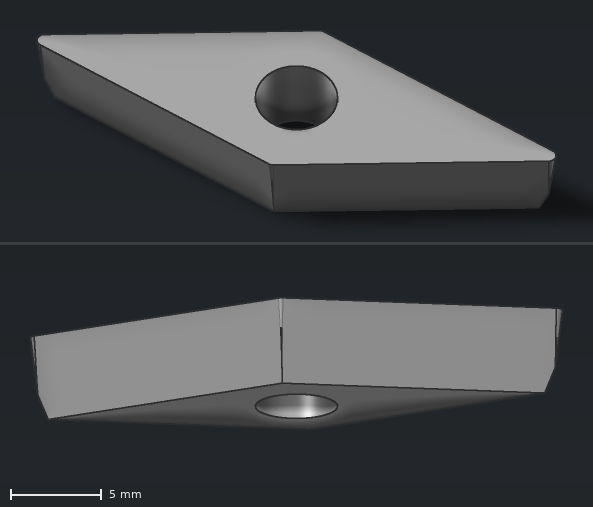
import cadquery as cq
import math

length = 28.47
width = 9.55
thickness = 4.75
tip_angle = 35.0
relief_angle = 7.0
hole_diameter = 4.53

relief_slope = math.tan(math.radians(relief_angle))
tip = math.radians(tip_angle)

side = width / math.sin(tip)
acute_x = (side + width / math.tan(tip)) / 2
obtuse_x = side - acute_x
half_width = width / 2
corners = [
    (-acute_x, -half_width),
    (obtuse_x, -half_width),
    (acute_x, half_width),
    (-obtuse_x, half_width),
]
corner_angles = [tip_angle, 180 - tip_angle] * 2

corner_radius = (acute_x - length / 2) / (1 / math.tan(tip / 2) - 1)
cone_depth = corner_radius / relief_slope


def toward(start, target, distance):
    """Point at a distance from start on the line to target."""
    ratio = distance / math.dist(start, target)
    return tuple(a + ratio * (b - a) for a, b in zip(start, target))


def corner_parts(index):
    """Wedge holding a sharp corner, and the conical rounding that replaces it."""
    corner = corners[index]
    half_angle = math.radians(corner_angles[index] / 2)
    tangent_length = corner_radius / math.tan(half_angle)
    before = toward(corner, corners[index - 1], tangent_length)
    after = toward(corner, corners[(index + 1) % len(corners)], tangent_length)
    middle = tuple((a + b) / 2 for a, b in zip(before, after))
    center = toward(corner, middle, corner_radius / math.sin(half_angle))
    wedge = (
        cq.Workplane("XY")
        .polyline([center, before, corner, after])
        .close()
        .extrude(-cone_depth)
    )
    cone = cq.Solid.makeCone(
        corner_radius, 0, cone_depth, pnt=cq.Vector(*center, 0), dir=cq.Vector(0, 0, -1)
    )
    return wedge, wedge.intersect(cq.Workplane(cone))


result = cq.Workplane("XY").polyline(corners).close().extrude(-thickness, taper=relief_angle)
for corner_index in range(len(corners)):
    wedge, rounding = corner_parts(corner_index)
    result = result.cut(wedge).union(rounding)

hole = cq.Workplane("XY").circle(hole_diameter / 2).extrude(-thickness)
result = result.cut(hole)